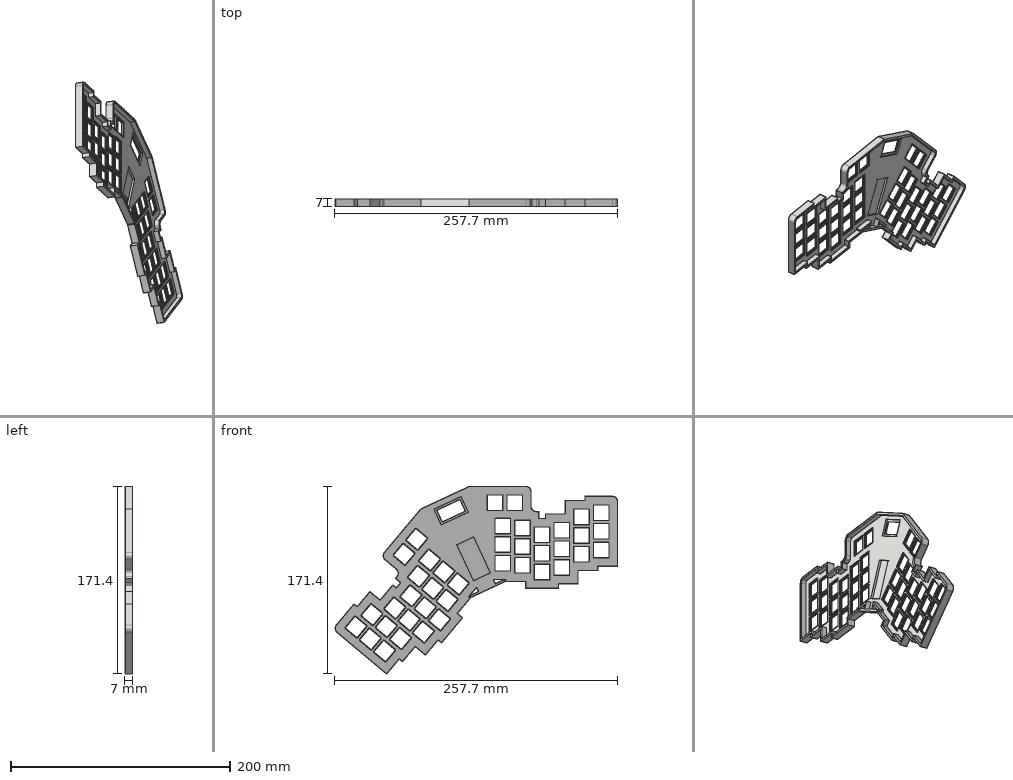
import cadquery as cq
import math


DEPTH = 7.0
FLOOR = 2.3
WALL = 2.0
TILT = 25.0
CORNER_RADIUS = 5.0

KEY = 14.0
COLUMN_SPAN = 90.0
ROW_PITCH = 17.0
KEY_LIP = 1.3
KEY_STEP = 0.5
ROWS = 3
MARGIN = 8.0
FIRST_COLUMN_X = 52.5
COLUMN_TOPS = [-25.8, -27.5, -33.8, -29.7, -17.5, -13.7]
COLUMN_PITCH = COLUMN_SPAN / (len(COLUMN_TOPS) - 1)
UPPER_KEYS_X = 45.6
UPPER_KEYS_Z = -4.6
UPPER_KEYS = 2

WINDOW_WIDTH = 23.2
WINDOW_HEIGHT = 11.5
WINDOW_DOWN = 13.1
WINDOW_SKIN = 0.8
WINDOW_LEDGE = 2.0
BOARD_WIDTH = 17.0
BOARD_TOP = 43.5
BOARD_BOTTOM = 79.7
BOARD_SKIN = 0.3
BRIDGE_BOTTOM = 92.5
BRIDGE_WIDTH = 34.5

SIN = math.sin(math.radians(TILT))
COS = math.cos(math.radians(TILT))


def block(x0, x1, z0, z1, y0, y1):
    """Axis-aligned block between the given limits."""
    return cq.Workplane("XY").box(x1 - x0, y1 - y0, z1 - z0, centered=False).translate((x0, y0, z0))


def tilt(body):
    """Turn a body drawn about an upright mirror line onto the tilted one."""
    return body.rotate((0, 0, 0), (0, 1, 0), -TILT)


def both_halves(right):
    """Join a right-hand body with its mirror image across the tilted line."""
    upright = right.rotate((0, 0, 0), (0, 1, 0), TILT)
    return right.union(tilt(upright.mirror("YZ")))


def column_x(index):
    """X of the centre of one key column."""
    return FIRST_COLUMN_X + index * COLUMN_PITCH


def column_limits(index, margin):
    """X and Z limits of one key column with a margin around its openings."""
    reach = KEY / 2 + margin
    x = column_x(index)
    top = COLUMN_TOPS[index]
    bottom = top - (ROWS - 1) * ROW_PITCH
    return x - reach, x + reach, bottom - reach, top + reach


def upper_limits(margin):
    """X and Z limits of the pair of upper keys with a margin around them."""
    reach = KEY / 2 + margin
    last_x = UPPER_KEYS_X + (UPPER_KEYS - 1) * COLUMN_PITCH
    return UPPER_KEYS_X - reach, last_x + reach, UPPER_KEYS_Z - reach, UPPER_KEYS_Z + reach


def round_edge(body, x, z, y, radius):
    """Round the front-to-back edge that passes through (x, z)."""
    return body.edges("|Y").edges(cq.selectors.NearestToPointSelector((x, y, z))).fillet(radius)


def case_area(inset, y0, y1):
    """Whole key area, shrunk inward by inset, between two depths."""
    margin = MARGIN - inset
    upper = upper_limits(margin)
    first = column_limits(0, margin)
    second = column_limits(1, margin)
    last = column_limits(len(COLUMN_TOPS) - 1, margin)
    top = upper[3]

    field = [
        (inset * SIN, -inset * COS),
        ((top * COS + inset) / SIN, top),
        (column_x(0), top),
        (column_x(0), first[2]),
        (-first[2] * SIN / COS, first[2]),
    ]
    half = cq.Workplane("XZ").polyline(field).close().extrude(-(y1 - y0)).translate((0, y0, 0))
    half = half.union(block(*upper, y0, y1))
    for index in range(len(COLUMN_TOPS)):
        half = half.union(block(*column_limits(index, margin), y0, y1))
    half = half.clean()

    middle = (y0 + y1) / 2
    half = round_edge(half, upper[1], top, middle, CORNER_RADIUS - inset)
    half = round_edge(half, last[1], last[3], middle, CORNER_RADIUS - inset)
    half = round_edge(half, upper[1], second[3], middle, CORNER_RADIUS)

    bay_half = BOARD_WIDTH / 2 - inset
    bay = block(-bay_half, bay_half, -BRIDGE_BOTTOM + inset, -BOARD_TOP, y0, y1)
    return both_halves(half).union(tilt(bay))


def bridge():
    """Thin bar that joins the two halves below the controller bay."""
    half_width = BRIDGE_WIDTH / 2
    bottom = -BRIDGE_BOTTOM
    return tilt(block(-half_width, half_width, bottom, bottom + WALL, 0, DEPTH))


def key_openings(side, y0):
    """Square cuts of the given side at every key, from depth y0 to the back."""
    half = side / 2
    centres = [(UPPER_KEYS_X + i * COLUMN_PITCH, UPPER_KEYS_Z) for i in range(UPPER_KEYS)]
    for index, top in enumerate(COLUMN_TOPS):
        centres += [(column_x(index), top - row * ROW_PITCH) for row in range(ROWS)]
    openings = cq.Workplane("XY")
    for x, z in centres:
        openings = openings.add(block(x - half, x + half, z - half, z + half, y0, DEPTH))
    return both_halves(openings.combine())


def window(ledge, y0):
    """Window cut widened by a ledge all round, from depth y0 to the back."""
    half_width = WINDOW_WIDTH / 2 + ledge
    half_height = WINDOW_HEIGHT / 2 + ledge
    centre = -WINDOW_DOWN
    return tilt(block(-half_width, half_width, centre - half_height, centre + half_height, y0, DEPTH))


def board_recess():
    """Recess behind the front face that leaves only a thin skin."""
    half_width = BOARD_WIDTH / 2
    return tilt(block(-half_width, half_width, -BOARD_BOTTOM, -BOARD_TOP, BOARD_SKIN, DEPTH))


result = case_area(0, 0, DEPTH).union(bridge())
result = result.cut(case_area(WALL, FLOOR, DEPTH))
result = result.cut(key_openings(KEY, 0)).cut(key_openings(KEY + 2 * KEY_STEP, KEY_LIP))
result = result.cut(window(0, 0)).cut(window(WINDOW_LEDGE, WINDOW_SKIN))
result = result.cut(board_recess())